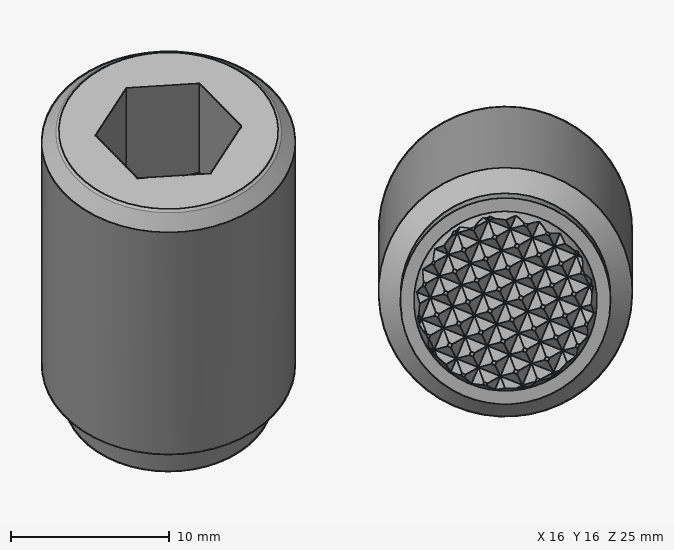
import cadquery as cq
import math

TOTAL_LENGTH = 25.0
SCREW_RADIUS = 8.0
TOP_CHAMFER = 1.0
RIM_WIDTH = 0.2
RIM_HEIGHT = 0.112
DOG_RADIUS = 6.62
DOG_HEIGHT = 1.55
LOWER_CHAMFER = SCREW_RADIUS - DOG_RADIUS

SOCKET_ACROSS_FLATS = 8.0
SOCKET_ACROSS_CORNERS = SOCKET_ACROSS_FLATS / math.cos(math.radians(30))
SOCKET_DEPTH = 8.0
FLOOR_POINT_ANGLE = 120.0

BALL_RADIUS = 6.0
BALL_CENTER_HEIGHT = 2.72
NOSE_HEIGHT = 1.08
TOOTH_PITCH = 1.5
TOOTH_FLAT = 0.25
GROOVE_HALF_WIDTH = (TOOTH_PITCH - TOOTH_FLAT) / 2
GROOVE_DEPTH = GROOVE_HALF_WIDTH
GROOVES_PER_SIDE = 4


def make_socket():
    """Hexagonal prism whose lower end is trimmed to a downward-pointing cone."""
    corner_radius = SOCKET_ACROSS_CORNERS / 2
    cone_height = corner_radius / math.tan(math.radians(FLOOR_POINT_ANGLE / 2))
    cone_base = TOTAL_LENGTH - SOCKET_DEPTH
    hexagon = (
        cq.Workplane("XY", origin=(0, 0, cone_base - cone_height))
        .polygon(6, SOCKET_ACROSS_CORNERS)
        .extrude(SOCKET_DEPTH + cone_height)
    )
    envelope = (
        cq.Workplane("XZ")
        .polyline([
            (0, cone_base - cone_height),
            (corner_radius, cone_base),
            (corner_radius, TOTAL_LENGTH),
            (0, TOTAL_LENGTH),
        ])
        .close()
        .revolve(360, (0, 0, 0), (0, 1, 0))
    )
    return hexagon.intersect(envelope)


def make_screw():
    """Turned screw body with chamfers, end dog, hexagon socket and spherical seat."""
    dog_top = NOSE_HEIGHT + DOG_HEIGHT
    rim_radius = SCREW_RADIUS - TOP_CHAMFER + RIM_HEIGHT
    turned = (
        cq.Workplane("XZ")
        .polyline([
            (0, NOSE_HEIGHT),
            (DOG_RADIUS, NOSE_HEIGHT),
            (DOG_RADIUS, dog_top),
            (SCREW_RADIUS, dog_top + LOWER_CHAMFER),
            (SCREW_RADIUS, TOTAL_LENGTH - TOP_CHAMFER),
            (rim_radius, TOTAL_LENGTH - RIM_HEIGHT),
            (rim_radius - RIM_WIDTH, TOTAL_LENGTH),
            (0, TOTAL_LENGTH),
        ])
        .close()
        .revolve(360, (0, 0, 0), (0, 1, 0))
    )
    return turned.cut(make_socket()).cut(make_ball())


def make_groove(offset):
    """V-shaped groove along Y, opening at Z = 0."""
    return (
        cq.Workplane("XZ", origin=(0, BALL_RADIUS, 0))
        .polyline([
            (offset - GROOVE_HALF_WIDTH, 0),
            (offset, GROOVE_DEPTH),
            (offset + GROOVE_HALF_WIDTH, 0),
        ])
        .close()
        .extrude(2 * BALL_RADIUS)
    )


def make_ball():
    """Ball cut flat at Z = 0."""
    ball = cq.Workplane("XY").sphere(BALL_RADIUS).translate((0, 0, BALL_CENTER_HEIGHT))
    below_flat = (
        cq.Workplane("XY")
        .rect(2 * BALL_RADIUS, 2 * BALL_RADIUS)
        .extrude(BALL_CENTER_HEIGHT - BALL_RADIUS)
    )
    return ball.cut(below_flat)


def make_serrated_ball():
    """Ball whose flat carries crossed grooves that leave pyramid teeth."""
    ball = make_ball()
    for index in range(-GROOVES_PER_SIDE, GROOVES_PER_SIDE + 1):
        groove = make_groove(index * TOOTH_PITCH)
        ball = ball.cut(groove)
        ball = ball.cut(groove.rotate((0, 0, 0), (0, 0, 1), 90))
    return ball


screw = make_screw()
serrated_ball = make_serrated_ball()

result = cq.Compound.makeCompound([screw.val(), serrated_ball.val()])